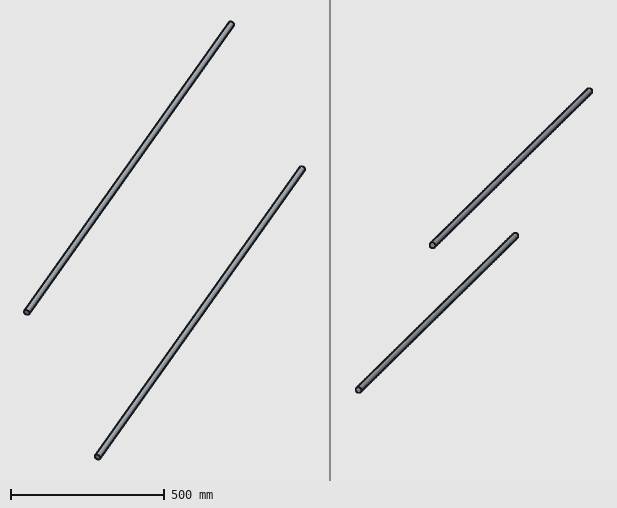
import cadquery as cq

overall_width = 275.0
overall_height = 550.0
rod_length = 1600.0
rod_radius = 10.0

axis_offset_x = overall_width / 2 - rod_radius
axis_offset_z = overall_height / 2 - rod_radius

rod_axes = [
    (-axis_offset_x, axis_offset_z),
    (axis_offset_x, -axis_offset_z),
]


def make_rod(x, z):
    """Plain round rod along Y, centred on Y = 0, with its axis at (x, z)."""
    end_plane = cq.Plane(origin=(x, -rod_length / 2, z), xDir=(-1, 0, 0), normal=(0, 1, 0))
    return cq.Workplane(end_plane).circle(rod_radius).extrude(rod_length)


rods = [make_rod(x, z) for x, z in rod_axes]

result = cq.Compound.makeCompound([rod.val() for rod in rods])